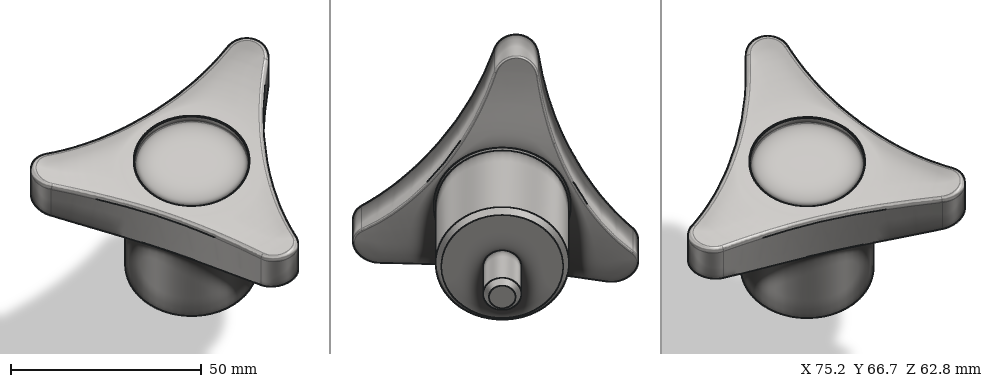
import cadquery as cq
import math

arm_count = 3
span = 75.2
tip_radius = 6.0
waist_radius = 19.8
tip_center = (span / 2 - tip_radius) / math.cos(math.radians(30))
arm_reach = tip_center + tip_radius

outline_height = 75.2
barrel_base = 15.0
underside_low = 44.45
underside_flat_radius = 9.0
underside_radius = 87.25
dish_low = 59.8
dish_flat_radius = 13.55
dish_radius = 131.6
top_fillet = 1.1
bottom_fillet = 0.6

barrel_diameter = 35.0
barrel_chamfer = 1.5
collar_flare = 0.5
collar_base = 44.2
shaft_top = 48.1
pin_diameter = 10.0
pin_chamfer = 1.5
recess_diameter = 30.0
recess_depth = 2.0
recess_edge = 0.2


def polar(radius, degrees):
    angle = math.radians(degrees)
    return radius * math.cos(angle), radius * math.sin(angle)


def handle_outline():
    """Rounded tips joined by hollow arcs that are tangent to them."""
    step = 360 / arm_count
    half_chord = tip_center * math.sin(math.radians(step / 2))
    tip_offset = tip_center * math.cos(math.radians(step / 2))
    gap = waist_radius - tip_offset
    side_radius = (half_chord**2 + gap**2 - tip_radius**2) / (2 * (tip_radius - gap))
    touch = side_radius / (side_radius + tip_radius)
    along = half_chord * touch
    outward = tip_offset + (waist_radius + side_radius - tip_offset) * (1 - touch)
    touch_radius = math.hypot(along, outward)
    touch_angle = step / 2 - math.degrees(math.atan2(along, outward))

    outline = cq.Workplane("XY").moveTo(*polar(touch_radius, 90 - touch_angle))
    for arm in range(arm_count):
        angle = 90 + arm * step
        outline = outline.threePointArc(polar(arm_reach, angle), polar(touch_radius, angle + touch_angle))
        outline = outline.threePointArc(
            polar(waist_radius, angle + step / 2), polar(touch_radius, angle + step - touch_angle)
        )
    return outline.close()


def rising_arc(radius, low, flat_radius, curve_radius):
    """Point on an arc that rises outward from a flat middle."""
    return radius, low + curve_radius - math.sqrt(curve_radius**2 - (radius - flat_radius) ** 2)


def handle_envelope():
    """Revolved body with a bowl-shaped underside and a dished top."""
    underside = (underside_low, underside_flat_radius, underside_radius)
    dish = (dish_low, dish_flat_radius, dish_radius)
    outer = arm_reach + 0.75
    middle = outer / 2
    return (
        cq.Workplane("XZ")
        .moveTo(0, underside_low)
        .lineTo(underside_flat_radius, underside_low)
        .threePointArc(rising_arc(middle, *underside), rising_arc(outer, *underside))
        .lineTo(*rising_arc(outer, *dish))
        .threePointArc(rising_arc(middle, *dish), (dish_flat_radius, dish_low))
        .lineTo(0, dish_low)
        .close()
        .revolve(360, (0, 0), (0, 1))
    )


def fillet_rim(body, upper, radius):
    """Round the upper or lower edges that follow the handle outline."""
    underside_tip = rising_arc(arm_reach, underside_low, underside_flat_radius, underside_radius)[1]
    middle = (underside_tip + dish_low) / 2

    def on_rim(edge):
        center = edge.Center()
        right_side = (center.z > middle) == upper
        return right_side and math.hypot(center.x, center.y) > waist_radius

    rim_edges = [edge for edge in body.edges("not |Z").vals() if on_rim(edge)]
    return body.newObject(rim_edges).fillet(radius)


def handle():
    body = handle_outline().extrude(outline_height).intersect(handle_envelope())
    body = fillet_rim(body, True, top_fillet)
    return fillet_rim(body, False, bottom_fillet)


def shaft():
    """Pin, barrel and flared collar as one turned shape."""
    pin_radius = pin_diameter / 2
    barrel_radius = barrel_diameter / 2
    collar_radius = barrel_radius + collar_flare
    profile = [
        (0, 0),
        (pin_radius - pin_chamfer, 0),
        (pin_radius, pin_chamfer),
        (pin_radius, barrel_base),
        (barrel_radius - barrel_chamfer, barrel_base),
        (barrel_radius, barrel_base + barrel_chamfer),
        (barrel_radius, collar_base),
        (collar_radius, collar_base + collar_flare),
        (collar_radius, shaft_top),
        (0, shaft_top),
    ]
    return cq.Workplane("XZ").polyline(profile).close().revolve(360, (0, 0), (0, 1))


def recess():
    """Round pocket tool with a filleted floor and a chamfered rim."""
    radius = recess_diameter / 2
    floor = dish_low - recess_depth
    return (
        cq.Workplane("XY", origin=(0, 0, floor))
        .circle(radius)
        .extrude(recess_depth)
        .faces("<Z")
        .edges()
        .fillet(recess_edge)
        .faces(">Z")
        .workplane(offset=-recess_edge)
        .circle(radius)
        .workplane(offset=2 * recess_edge)
        .circle(radius + 2 * recess_edge)
        .loft(ruled=True)
    )


result = handle().union(shaft()).cut(recess())